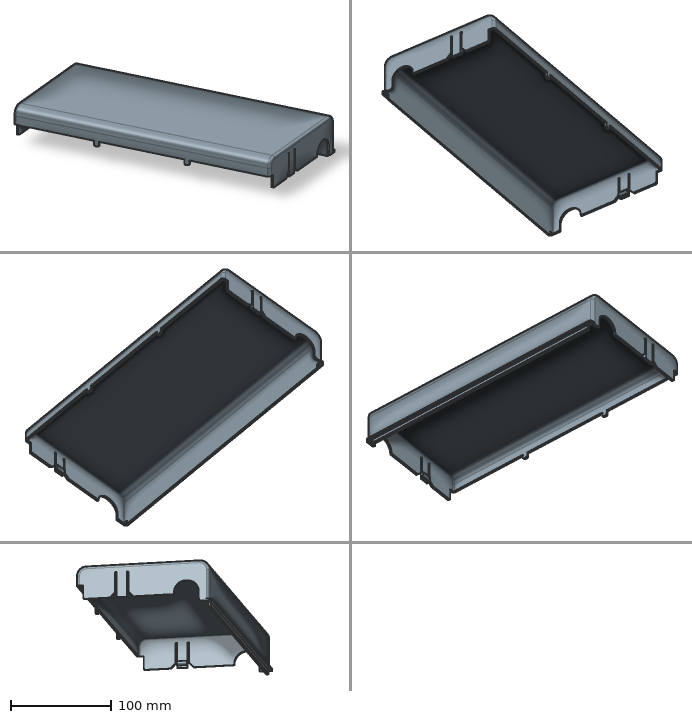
import cadquery as cq

LENGTH = 290.0
DEPTH = 138.0
HEIGHT = 47.0
WALL = 2.0

LIP_OVERHANG = 3.0
BACK_Y = DEPTH - LIP_OVERHANG
LONG_EDGE_RADIUS = 10.2
END_EDGE_RADIUS = 3.0

BACK_BOTTOM = 5.0
END_BOTTOM = 13.0
FRONT_BOTTOM = 27.3

LIP_THICKNESS = 1.7
STRIP_END_INSET = 6.5
STRIP_EDGE_CHAMFER = 1.0

FRONT_STEP_Y = 7.0
STEP_RADIUS = 1.0
CORNER_RADIUS = 1.7
ARCH_Y = 112.0
ARCH_Z = 14.0
ARCH_RADIUS = 12.8

SLOT_WIDTH = 1.7
SLOT_TOP = 39.0
FRONT_SLOT_Y = 40.3
BACK_SLOT_Y = 52.2
SLOT_LEAD_IN = 5.0
SNAP_RADIUS = 2.3
SNAP_Z = 17.7

TOOTH_OFFSET = 51.0
TOOTH_WIDTH = 5.8
TOOTH_DROP = 5.5
TOOTH_RADIUS = 2.0


def block(length, y_min, y_max, z_min, z_max):
    """Box centred on X = 0 between the given Y and Z limits."""
    return (
        cq.Workplane("XY")
        .box(length, y_max - y_min, z_max - z_min, centered=(True, False, False))
        .translate((0, y_min, z_min))
    )


def extrude_along_x(sketch, length):
    """Extrude a YZ sketch by equal amounts to both sides of X = 0."""
    return sketch.extrude(length / 2, both=True)


def rounded_block(inset):
    """Cover envelope moved inwards by inset, with its top and end edges rounded."""
    return (
        block(LENGTH - 2 * inset, inset, BACK_Y - inset, BACK_BOTTOM, HEIGHT - inset)
        .edges("|X and >Z")
        .fillet(LONG_EDGE_RADIUS - inset)
        .faces("<X or >X")
        .edges("not <Z")
        .fillet(END_EDGE_RADIUS - inset)
    )


def back_lip():
    """Flat lip around the foot of the back wall, square to the ends, outer corners rounded."""
    return (
        block(LENGTH, BACK_Y - END_EDGE_RADIUS, DEPTH, BACK_BOTTOM, BACK_BOTTOM + LIP_THICKNESS)
        .edges("|Z and >Y")
        .fillet(LIP_OVERHANG)
    )


def space_under_walls():
    """Space below the front and end walls: front step, straight edge and pipe arch."""
    arch_back_y = ARCH_Y + ARCH_RADIUS
    step = block(LENGTH, -WALL, FRONT_STEP_Y, 0, FRONT_BOTTOM).edges("|X and >Y and >Z").fillet(STEP_RADIUS)
    straight = block(LENGTH, -WALL, ARCH_Y, 0, END_BOTTOM)
    arch_foot = block(LENGTH, ARCH_Y - ARCH_RADIUS, arch_back_y, 0, ARCH_Z)
    arch = extrude_along_x(cq.Workplane("YZ").center(ARCH_Y, ARCH_Z).circle(ARCH_RADIUS), LENGTH)
    return step.union(straight).union(arch_foot).union(arch)


def corner_sliver(y, z):
    """Sliver that rounds a lower, front corner of the end walls at the given Y and Z."""
    sketch = (
        cq.Workplane("YZ")
        .moveTo(y, z)
        .lineTo(y + CORNER_RADIUS, z)
        .radiusArc((y, z + CORNER_RADIUS), CORNER_RADIUS)
        .close()
    )
    return extrude_along_x(sketch, LENGTH)


def tongue_slot(y, outward):
    """Round-topped slot through both end walls, with a lead-in on its outward side."""
    half = SLOT_WIDTH / 2
    edge_y = y + outward * half
    slot = (
        cq.Workplane("YZ")
        .moveTo(y - half, 0)
        .lineTo(y - half, SLOT_TOP - half)
        .threePointArc((y, SLOT_TOP), (y + half, SLOT_TOP - half))
        .lineTo(y + half, 0)
        .close()
    )
    lead_in = (
        cq.Workplane("YZ")
        .moveTo(edge_y, END_BOTTOM)
        .lineTo(edge_y + outward * SLOT_LEAD_IN, END_BOTTOM)
        .lineTo(edge_y, END_BOTTOM + SLOT_LEAD_IN)
        .close()
    )
    return extrude_along_x(slot, LENGTH).union(extrude_along_x(lead_in, LENGTH))


def snap_ridge(side):
    """Half-round ridge across the inner face of one tongue; side is -1 or 1 along X."""
    inner_x = side * (LENGTH / 2 - WALL)
    root_x = inner_x + side * WALL / 2
    tongue_width = BACK_SLOT_Y - FRONT_SLOT_Y - SLOT_WIDTH
    return (
        cq.Workplane("XZ", origin=(0, FRONT_SLOT_Y + SLOT_WIDTH / 2, 0))
        .moveTo(inner_x, SNAP_Z - SNAP_RADIUS)
        .threePointArc((inner_x - side * SNAP_RADIUS, SNAP_Z), (inner_x, SNAP_Z + SNAP_RADIUS))
        .lineTo(root_x, SNAP_Z + SNAP_RADIUS)
        .lineTo(root_x, SNAP_Z - SNAP_RADIUS)
        .close()
        .extrude(-tongue_width)
    )


def back_strip():
    """Strip that continues the back wall downwards, with its outer lower edge broken."""
    return (
        block(LENGTH - 2 * STRIP_END_INSET, BACK_Y - WALL, BACK_Y, 0, BACK_BOTTOM + LIP_THICKNESS)
        .edges("|X and >Y and <Z")
        .chamfer(STRIP_EDGE_CHAMFER)
    )


def front_tooth(x):
    """Small tooth with rounded lower corners below the front wall."""
    return (
        block(TOOTH_WIDTH, 0, WALL, FRONT_BOTTOM - TOOTH_DROP, FRONT_BOTTOM + WALL)
        .edges("|Y and <Z")
        .fillet(TOOTH_RADIUS)
        .translate((x, 0, 0))
    )


result = rounded_block(0).union(back_lip()).cut(rounded_block(WALL))
result = result.cut(space_under_walls())
result = result.cut(corner_sliver(FRONT_STEP_Y, END_BOTTOM))
result = result.cut(corner_sliver(ARCH_Y + ARCH_RADIUS, BACK_BOTTOM))
result = result.cut(tongue_slot(FRONT_SLOT_Y, -1)).cut(tongue_slot(BACK_SLOT_Y, 1))

result = result.union(back_strip())
for direction in (-1, 1):
    result = result.union(snap_ridge(direction))
    result = result.union(front_tooth(direction * TOOTH_OFFSET))